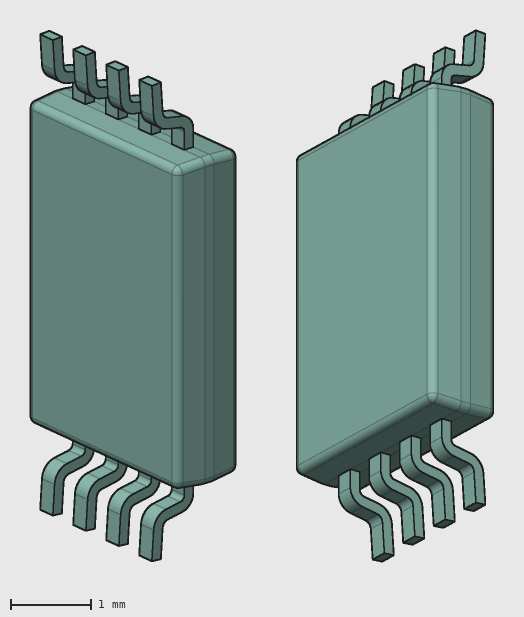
import cadquery as cq
import math

total_height = 6.42
foot_reach = 0.6

package_width = 3.0
package_height = 4.405
package_depth = 1.0
draft_angle = 5.0
edge_radius = 0.1

leads_per_row = 4
lead_pitch = 0.65
lead_width = 0.25
lead_thickness = 0.15
shoulder_length = 0.245
shoulder_bend_radius = 0.15
foot_bend_radius = 0.175
leg_angle = 80.0
foot_angle = 4.0


def make_package():
    """Package symmetric about the XZ plane, rounded on its outer edges."""
    taper_depth = (package_depth - lead_thickness) / 2
    front = (
        cq.Workplane("XZ", origin=(0, -lead_thickness / 2, 0))
        .rect(package_width, package_height)
        .extrude(taper_depth, taper=draft_angle)
    )
    front = front.edges("(not #Y) or <Y").fillet(edge_radius)
    back = front.mirror("XZ")
    front_and_band = front.faces(">Y").wires().toPending().workplane().extrude(lead_thickness)
    return front_and_band.union(back).solids()


def make_top_lead():
    """Lead centred on X = 0, bent along a centreline in the YZ plane."""
    leg = math.radians(leg_angle)
    foot = math.radians(foot_angle)
    half_thickness = lead_thickness / 2

    package_end = package_height / 2
    shoulder_end = package_end + shoulder_length
    leg_start_y = -shoulder_bend_radius * (1 - math.cos(leg))
    leg_start_z = shoulder_end + shoulder_bend_radius * math.sin(leg)

    tip_y = -foot_reach + half_thickness * math.cos(foot)
    tip_z = total_height / 2 - half_thickness * math.sin(foot)

    bend_step_y = -foot_bend_radius * (math.cos(foot) - math.cos(leg))
    bend_step_z = foot_bend_radius * (math.sin(leg) - math.sin(foot))

    span_y = leg_start_y + bend_step_y - tip_y
    span_z = tip_z - leg_start_z - bend_step_z
    turn = math.sin(leg - foot)
    leg_length = (span_y * math.cos(foot) - span_z * math.sin(foot)) / turn
    leg_end_y = leg_start_y - leg_length * math.sin(leg)
    leg_end_z = leg_start_z + leg_length * math.cos(leg)

    centreline = (
        cq.Workplane("YZ")
        .moveTo(0, package_end)
        .lineTo(0, shoulder_end)
        .tangentArcPoint((leg_start_y, leg_start_z), relative=False)
        .lineTo(leg_end_y, leg_end_z)
        .tangentArcPoint((leg_end_y + bend_step_y, leg_end_z + bend_step_z), relative=False)
        .lineTo(tip_y, tip_z)
    )
    section = cq.Workplane("XY").workplane(offset=package_end).rect(lead_width, lead_thickness)
    return section.sweep(centreline)


def make_leads():
    """One row of leads at each end of the package; the bottom row mirrors the top."""
    top_lead = make_top_lead()
    bottom_lead = top_lead.mirror("XY")
    first_x = -lead_pitch * (leads_per_row - 1) / 2
    leads = []
    for index in range(leads_per_row):
        x = first_x + index * lead_pitch
        for lead in (top_lead, bottom_lead):
            leads.append(lead.translate((x, 0, 0)).val())
    return leads


package = make_package()
leads = make_leads()

result = cq.Compound.makeCompound([package.val(), *leads])